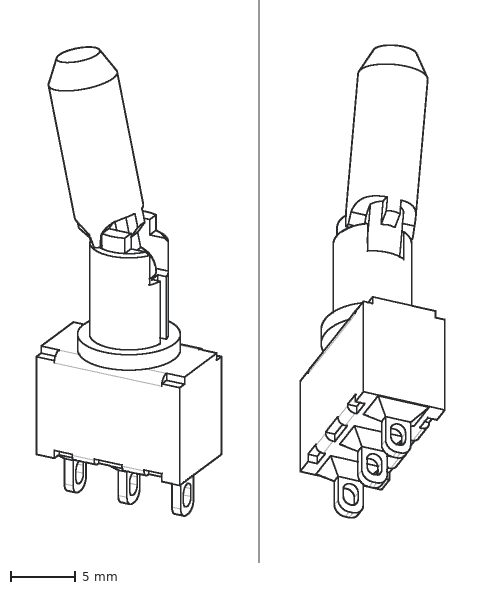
import cadquery as cq
import math


TOTAL_HEIGHT = 37.33

CASE_LENGTH = 12.65
CASE_WIDTH = 6.87
CASE_BOTTOM = 4.05
CASE_TOP = 12.9
RIM_WIDTH = 0.8
RIM_HALF_LENGTH = 4.75
CORNER_NOTCH_HEIGHT = 0.6
BOTTOM_NOTCH_HEIGHT = 0.67
BOTTOM_TAB_RADIUS = 0.6
BOTTOM_TAB_INNER = 1.25
BOTTOM_TAB_OUTER = 3.17

PIN_PITCH = 4.75
PIN_THICKNESS = 0.8
PIN_WIDTH = 2.13
PIN_END_RADIUS = 0.9
PIN_EYE_WIDTH = 1.25
PIN_EYE_LENGTH = 1.9
PIN_EYE_HEIGHT = 1.65
SKIRT_HEIGHT = 1.0
SKIRT_SPREAD = 1.1

FLANGE_DIAMETER = 8.0
FLANGE_TOP = 14.22
BUSHING_RADIUS = 3.05
BUSHING_TOP = 22.25
BUSHING_CHAMFER_WIDTH = 0.3
BUSHING_CHAMFER_HEIGHT = 0.22
LEVER_SLOT_WIDTH = 3.05
LEVER_SLOT_FLOOR = 19.52
BALL_DIAMETER = 4.2
KEYWAY_WIDTH = 1.0
KEYWAY_DEPTH = 0.8
POST_LENGTH = 2.0
POST_TOP = 23.55

TILT = 12.1
PIVOT_HEIGHT = 16.05
SHAFT_RADIUS = 1.85
SHAFT_WIDTH = 2.8
HANDLE_RADIUS = 2.73
TIP_RADIUS = 1.7
TIP_LENGTH = 1.98
HANDLE_BOTTOM = 6.42
SCALLOP_START = 7.4
SCALLOP_MIDDLE = 8.2
SCALLOP_END = 8.4
SCALLOP_MIDDLE_OFFSET = 1.45
KEY_CHAMFER = 0.9
TOOTH_ROOT_WIDTH = 1.05
TOOTH_TIP_WIDTH = 0.52
KEY_WIDTH = 1.15


def box(length, width, bottom, top, x=0, y=0):
    """Box centred on (x, y) between two heights."""
    return (
        cq.Workplane("XY", origin=(x, y, bottom))
        .box(length, width, top - bottom, centered=(True, True, False))
    )


def cylinder(radius, bottom, top):
    return cq.Workplane("XY", origin=(0, 0, bottom)).circle(radius).extrude(top - bottom)


def rounded_rim(length, radius, x, height, side):
    """Waste outside a quarter round on a long edge; height is the case face it meets."""
    inward = 1 if height == CASE_BOTTOM else -1
    outer_y = CASE_WIDTH / 2
    middle = radius * (1 - math.sqrt(0.5))
    waste = (
        cq.Workplane("YZ", origin=(x - length / 2, 0, 0))
        .moveTo(side * outer_y, height)
        .lineTo(side * outer_y, height + inward * radius)
        .threePointArc(
            (side * (outer_y - middle), height + inward * middle),
            (side * (outer_y - radius), height),
        )
        .close()
        .extrude(length)
    )
    return waste


def make_case():
    case = box(CASE_LENGTH, CASE_WIDTH, CASE_BOTTOM, CASE_TOP)
    corner_length = CASE_LENGTH / 2 - RIM_HALF_LENGTH
    corner_x = RIM_HALF_LENGTH + corner_length / 2
    tab_length = BOTTOM_TAB_OUTER - BOTTOM_TAB_INNER
    tab_x = (BOTTOM_TAB_OUTER + BOTTOM_TAB_INNER) / 2
    end_notch_length = RIM_HALF_LENGTH - BOTTOM_TAB_OUTER
    end_notch_x = (RIM_HALF_LENGTH + BOTTOM_TAB_OUTER) / 2
    notch_floor = CASE_TOP - CORNER_NOTCH_HEIGHT
    notch_top = CASE_BOTTOM + BOTTOM_NOTCH_HEIGHT
    for side in (-1, 1):
        rim_y = side * (CASE_WIDTH - RIM_WIDTH) / 2
        case = case.cut(rounded_rim(2 * RIM_HALF_LENGTH, RIM_WIDTH, 0, CASE_TOP, side))
        case = case.cut(box(2 * BOTTOM_TAB_INNER, RIM_WIDTH, CASE_BOTTOM, notch_top, 0, rim_y))
        for end in (-1, 1):
            case = case.cut(box(corner_length, RIM_WIDTH, notch_floor, CASE_TOP, end * corner_x, rim_y))
            case = case.cut(rounded_rim(tab_length, BOTTOM_TAB_RADIUS, end * tab_x, CASE_BOTTOM, side))
            case = case.cut(
                box(end_notch_length, RIM_WIDTH, CASE_BOTTOM, notch_top, end * end_notch_x, rim_y)
            )
    return case


def make_pin(x):
    """Flat solder pin with a slotted eye, hanging from a flared skirt."""
    blade = box(PIN_THICKNESS, PIN_WIDTH, 0, CASE_BOTTOM, x)
    blade = blade.faces("<Z").edges("|X").fillet(PIN_END_RADIUS)
    eye = (
        cq.Workplane("YZ", origin=(x - PIN_THICKNESS / 2, 0, PIN_EYE_HEIGHT))
        .slot2D(PIN_EYE_LENGTH, PIN_EYE_WIDTH, 90)
        .extrude(PIN_THICKNESS)
    )
    skirt = (
        cq.Workplane("XY", origin=(x, 0, CASE_BOTTOM))
        .rect(PIN_THICKNESS + 2 * SKIRT_SPREAD, PIN_WIDTH + 2 * SKIRT_SPREAD)
        .workplane(offset=-SKIRT_HEIGHT)
        .rect(PIN_THICKNESS, PIN_WIDTH)
        .loft(ruled=True)
    )
    return blade.cut(eye).union(skirt)


def make_bushing():
    """Flanged bushing, slotted for the lever, with a ball in the slot and posts beside it."""
    post_radius = BUSHING_RADIUS - BUSHING_CHAMFER_WIDTH
    barrel = (
        cq.Workplane("XZ")
        .moveTo(0, CASE_TOP)
        .lineTo(FLANGE_DIAMETER / 2, CASE_TOP)
        .lineTo(FLANGE_DIAMETER / 2, FLANGE_TOP)
        .lineTo(BUSHING_RADIUS, FLANGE_TOP)
        .lineTo(BUSHING_RADIUS, BUSHING_TOP - BUSHING_CHAMFER_HEIGHT)
        .lineTo(post_radius, BUSHING_TOP)
        .lineTo(0, BUSHING_TOP)
        .close()
        .revolve(360, (0, 0, 0), (0, 1, 0))
    )
    posts = cylinder(post_radius, BUSHING_TOP, POST_TOP).intersect(
        box(POST_LENGTH, 2 * post_radius, BUSHING_TOP, POST_TOP)
    )
    slot = box(2 * BUSHING_RADIUS, LEVER_SLOT_WIDTH, LEVER_SLOT_FLOOR, POST_TOP)
    keyway = box(
        KEYWAY_DEPTH, KEYWAY_WIDTH, FLANGE_TOP, BUSHING_TOP, BUSHING_RADIUS - KEYWAY_DEPTH / 2
    )
    ball = cq.Workplane("XY", origin=(0, 0, LEVER_SLOT_FLOOR)).sphere(BALL_DIAMETER / 2)
    return barrel.union(posts).cut(slot).cut(keyway).union(ball)


def make_handle(handle_top):
    """Tapered handle whose lower end is scalloped to a cross tooth and two keys."""
    handle = (
        cq.Workplane("XZ")
        .moveTo(0, HANDLE_BOTTOM)
        .lineTo(HANDLE_RADIUS, HANDLE_BOTTOM)
        .lineTo(HANDLE_RADIUS, handle_top - TIP_LENGTH)
        .lineTo(TIP_RADIUS, handle_top)
        .lineTo(0, handle_top)
        .close()
        .revolve(360, (0, 0, 0), (0, 1, 0))
    )
    keys = box(2 * HANDLE_RADIUS, KEY_WIDTH, HANDLE_BOTTOM, handle_top)
    keys = keys.faces("<Z").edges("|Y").chamfer(KEY_CHAMFER)
    for side in (-1, 1):
        scallop = (
            cq.Workplane("XZ")
            .moveTo(side * TOOTH_TIP_WIDTH / 2, HANDLE_BOTTOM)
            .lineTo(side * TOOTH_ROOT_WIDTH / 2, SCALLOP_START)
            .threePointArc(
                (side * SCALLOP_MIDDLE_OFFSET, SCALLOP_MIDDLE),
                (side * HANDLE_RADIUS, SCALLOP_END),
            )
            .lineTo(side * HANDLE_RADIUS, HANDLE_BOTTOM)
            .close()
            .extrude(HANDLE_RADIUS, both=True)
        )
        handle = handle.cut(scallop.cut(keys))
    return handle


def make_lever():
    tilt = math.radians(TILT)
    handle_top = (TOTAL_HEIGHT - PIVOT_HEIGHT - TIP_RADIUS * math.sin(tilt)) / math.cos(tilt)
    shaft_top = handle_top - TIP_LENGTH
    shaft = cylinder(SHAFT_RADIUS, 0, shaft_top).intersect(
        box(2 * SHAFT_RADIUS, SHAFT_WIDTH, 0, shaft_top)
    )
    lever = make_handle(handle_top).union(shaft)
    return lever.rotate((0, 0, 0), (0, 1, 0), -TILT).translate((0, 0, PIVOT_HEIGHT))


result = make_case().union(make_bushing()).union(make_lever())
for pin_index in (-1, 0, 1):
    result = result.union(make_pin(pin_index * PIN_PITCH))